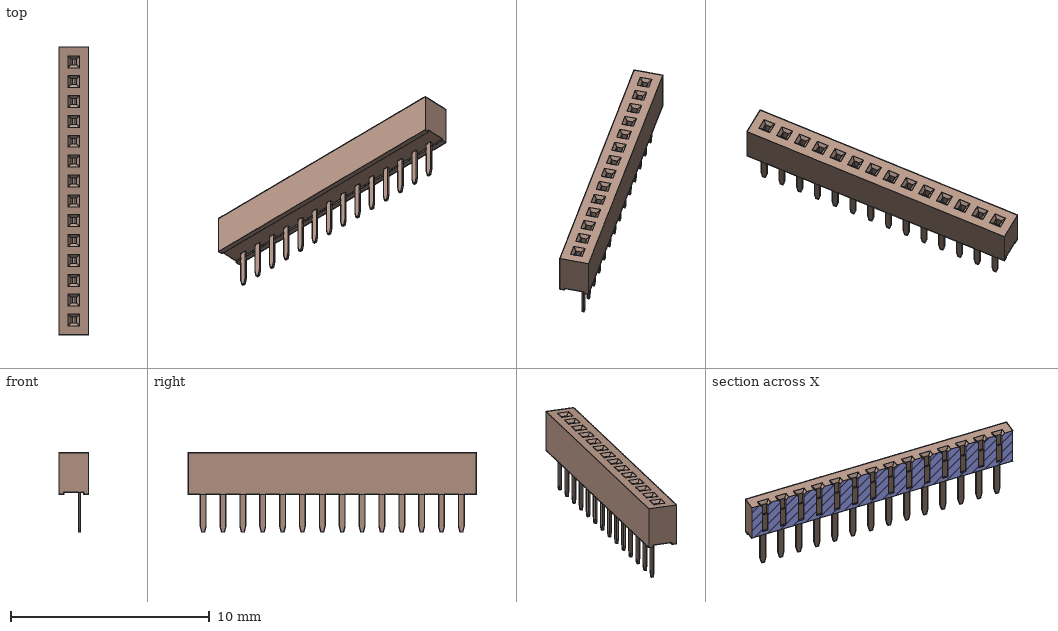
import cadquery as cq

contact_count = 14
pitch = 1.0
end_margin = 0.75
row_span = (contact_count - 1) * pitch

housing_width = 1.5
housing_length = row_span + 2 * end_margin
housing_height = 2.1
standoff_width = 0.25
standoff_height = 0.1

lead_in_size = 0.6
well_size = 0.3
lead_in_depth = 0.15
well_depth = 1.6

leaf_thickness = 0.08
leaf_drop = 0.6

tail_width = 0.3
tail_thickness = 0.1
tail_offset = 0.29
tail_length = 1.9
tail_tip_length = 0.3
tail_tip_width = 0.15

contact_positions = [index * pitch - row_span / 2 for index in range(contact_count)]


def centred_box(size_x, size_y, z_bottom, z_top):
    """Box centred on the Z axis between two heights."""
    return (
        cq.Workplane("XY")
        .workplane(offset=z_bottom)
        .rect(size_x, size_y)
        .extrude(z_top - z_bottom)
    )


def make_housing():
    """Block with a channel along its underside that leaves two standoff rails."""
    block = centred_box(housing_width, housing_length, 0, housing_height)
    channel_width = housing_width - 2 * standoff_width
    channel = centred_box(channel_width, housing_length, 0, standoff_height)
    return block.cut(channel)


def make_socket():
    """Void of one socket, with the contact leaves left standing in the well."""
    lead_in_bottom = housing_height - lead_in_depth
    well_bottom = lead_in_bottom - well_depth
    lead_in = (
        cq.Workplane("XY")
        .workplane(offset=housing_height)
        .rect(lead_in_size, lead_in_size)
        .workplane(offset=-lead_in_depth)
        .rect(well_size, well_size)
        .loft(ruled=True)
    )
    well = centred_box(well_size, well_size, well_bottom, lead_in_bottom)
    leaf = centred_box(leaf_thickness, well_size, well_bottom, lead_in_bottom - leaf_drop)
    leaf_offset = (well_size - leaf_thickness) / 2
    for side in (-1, 1):
        well = well.cut(leaf.translate((side * leaf_offset, 0, 0)))
    return lead_in.union(well)


def make_tail():
    """Flat solder tail whose end narrows to a blunt tip."""
    tip_start = tail_tip_length - tail_length
    outline = [
        (-tail_width / 2, standoff_height),
        (-tail_width / 2, tip_start),
        (-tail_tip_width / 2, -tail_length),
        (tail_tip_width / 2, -tail_length),
        (tail_width / 2, tip_start),
        (tail_width / 2, standoff_height),
    ]
    return (
        cq.Workplane("YZ")
        .polyline(outline)
        .close()
        .extrude(tail_thickness / 2, both=True)
        .translate((tail_offset, 0, 0))
    )


result = make_housing()
socket = make_socket()
tail = make_tail()
for position in contact_positions:
    result = result.cut(socket.translate((0, position, 0)))
    result = result.union(tail.translate((0, position, 0)))